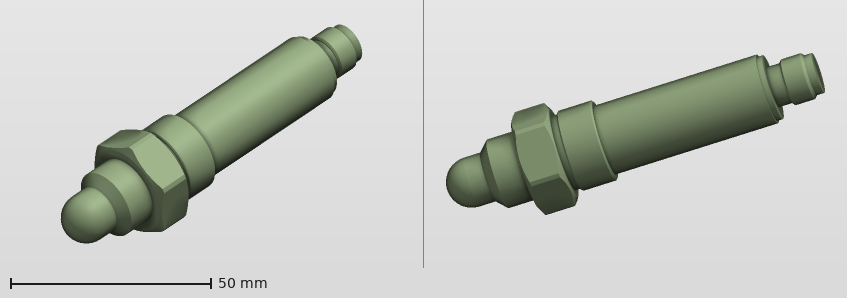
import cadquery as cq
import math

tip_radius = 12.8 / 2
body_radius = 18.0 / 2
groove_radius = 19.5 / 2
collar_radius = 20.9 / 2
cap_radius = 16.7 / 2
connector_radius = 10.5 / 2
thread_radius = 12.0 / 2

total_length = 97.8
nose_shoulder = 10.8
hex_front = 20.7
hex_back = 30.7
collar_front = 32.3
collar_back = 41.6
body_back = 84.4
cap_back = 85.9
thread_front = 89.5
thread_back = 95.8

collar_chamfer = 0.4
thread_front_chamfer = 0.5
thread_back_chamfer = thread_radius - connector_radius

hex_across_flats = 24.0
hex_corner_radius = 27.0 / 2
hex_face_radius = 23.0 / 2
hex_chamfer_angle = 30


def revolve_about_y(half_profile):
    """Turn a closed half profile, drawn as (radius, y), about the Y axis."""
    return half_profile.close().revolve(360, (0, 0, 0), (0, 1, 0))


def make_turned_body():
    """Everything except the hexagon, as one stepped shaft with a round tip."""
    arc_reach = tip_radius * math.sqrt(0.5)
    cone_length = body_radius - tip_radius
    profile = (
        cq.Workplane("XY")
        .moveTo(0, 0)
        .threePointArc((arc_reach, tip_radius - arc_reach), (tip_radius, tip_radius))
        .lineTo(tip_radius, nose_shoulder)
        .lineTo(body_radius, nose_shoulder + cone_length)
        .lineTo(body_radius, hex_front)
        .lineTo(groove_radius, hex_front)
        .lineTo(groove_radius, collar_front)
        .lineTo(collar_radius - collar_chamfer, collar_front)
        .lineTo(collar_radius, collar_front + collar_chamfer)
        .lineTo(collar_radius, collar_back - collar_chamfer)
        .lineTo(collar_radius - collar_chamfer, collar_back)
        .lineTo(body_radius, collar_back)
        .lineTo(body_radius, body_back)
        .lineTo(cap_radius, body_back)
        .lineTo(cap_radius, cap_back)
        .lineTo(connector_radius, cap_back)
        .lineTo(connector_radius, thread_front)
        .lineTo(thread_radius - thread_front_chamfer, thread_front)
        .lineTo(thread_radius, thread_front + thread_front_chamfer)
        .lineTo(thread_radius, thread_back - thread_back_chamfer)
        .lineTo(connector_radius, thread_back)
        .lineTo(connector_radius, total_length)
        .lineTo(0, total_length)
    )
    return revolve_about_y(profile)


def make_hexagon():
    """Hexagon with turned-down corners and conical chamfers on both faces."""
    prism = (
        cq.Workplane("XZ", origin=(0, hex_front, 0))
        .polygon(6, hex_across_flats, circumscribed=True)
        .extrude(hex_front - hex_back)
    )
    chamfer_depth = (hex_corner_radius - hex_face_radius) * math.tan(math.radians(hex_chamfer_angle))
    envelope = revolve_about_y(
        cq.Workplane("XY")
        .moveTo(0, hex_front)
        .lineTo(hex_face_radius, hex_front)
        .lineTo(hex_corner_radius, hex_front + chamfer_depth)
        .lineTo(hex_corner_radius, hex_back - chamfer_depth)
        .lineTo(hex_face_radius, hex_back)
        .lineTo(0, hex_back)
    )
    return prism.intersect(envelope)


result = make_turned_body().union(make_hexagon())